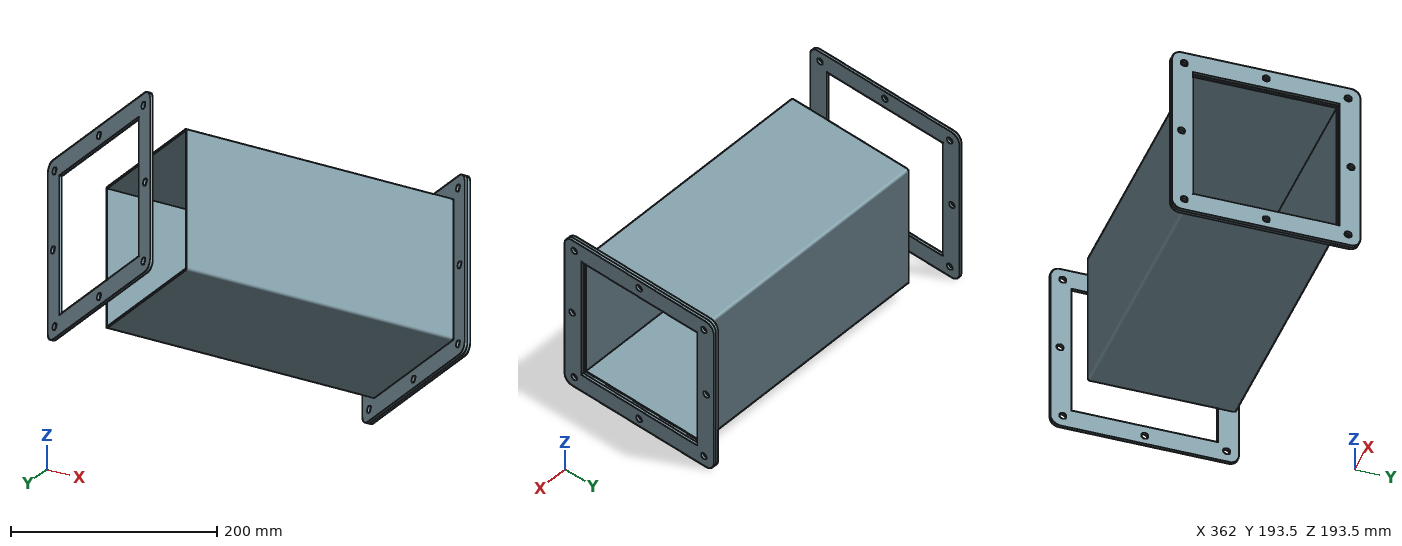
import cadquery as cq

total_length = 362.0
plate_side = 193.5

plate_thickness = 3.3
plate_corner_radius = 10.0
plate_opening = 150.5

hole_diameter = 7.2
corner_hole_inset = 12.5
middle_hole_inset = 9.8

tube_side = 152.7
tube_wall = 2.0
tube_corner_radius = 3.0
tube_gap = 50.5

loose_gasket_start = 0
end_gasket_start = total_length - plate_thickness
flange_start = end_gasket_start - plate_thickness
tube_start = loose_gasket_start + plate_thickness + tube_gap
tube_length = flange_start - tube_start


def square_bar(start, length, side):
    """Solid square bar centred on the X axis."""
    return cq.Workplane("YZ", origin=(start, 0, 0)).rect(side, side).extrude(length)


def bolt_hole_centers():
    """Centres of the four corner holes and the four mid-side holes."""
    corner = plate_side / 2 - corner_hole_inset
    middle = plate_side / 2 - middle_hole_inset
    corners = [(y, z) for y in (-corner, corner) for z in (-corner, corner)]
    middles = [(-middle, 0), (middle, 0), (0, -middle), (0, middle)]
    return corners + middles


def drilled_frame(start):
    """Square frame with rounded outer corners and eight bolt holes."""
    plate = square_bar(start, plate_thickness, plate_side).edges("|X").fillet(plate_corner_radius)
    opening = square_bar(start, plate_thickness, plate_opening)
    holes = (
        cq.Workplane("YZ", origin=(start, 0, 0))
        .pushPoints(bolt_hole_centers())
        .circle(hole_diameter / 2)
        .extrude(plate_thickness)
    )
    return plate.cut(opening).cut(holes)


def make_gasket(start):
    """Frame that seals one end of the duct."""
    return drilled_frame(start)


def make_flange():
    """Frame between the end of the tube and the end gasket."""
    return drilled_frame(flange_start)


def make_tube():
    """Square duct with rounded outer edges and sharp inner corners, butting against the flange."""
    outside = square_bar(tube_start, tube_length, tube_side).edges("|X").fillet(tube_corner_radius)
    bore = square_bar(tube_start, tube_length, tube_side - 2 * tube_wall)
    return outside.cut(bore)


gaskets = [make_gasket(start) for start in (loose_gasket_start, end_gasket_start)]
flange = make_flange()
tube = make_tube()

result = cq.Compound.makeCompound([*(gasket.val() for gasket in gaskets), flange.val(), tube.val()])